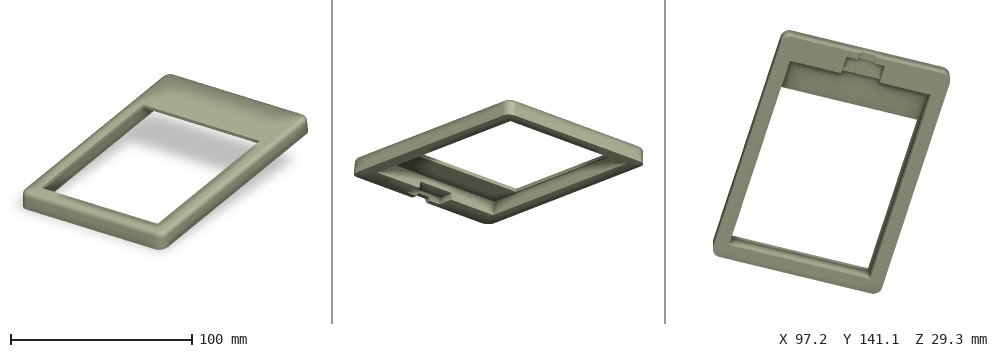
import cadquery as cq
import math

TILT = 8.0
WIDTH = 97.2
DEPTH = 141.1
THICKNESS = 10.0
PLATE = 2.0
CORNER_RADIUS = 5.0
TOP_RADIUS = 3.0

tilt = math.radians(TILT)
length = DEPTH / math.cos(tilt)

WINDOW_WIDTH = 79.0
WINDOW_FRONT = 9.7
WINDOW_REAR = 107.0

POCKET_MARGIN = 1.1
REAR_BLOCK = 14.5

NOTCH_WIDTH = 22.3
NOTCH_HEIGHT = 4.0
REAR_WALL = 4.0
OPENING_WIDTH = 9.5
OPENING_DIAMETER = 4.2


def block(width, front, rear, bottom, top):
    """Box centred on X, between the given Y and Z limits."""
    return cq.Workplane("XY").box(
        width, rear - front, top - bottom, centered=(True, False, False)
    ).translate((0, front, bottom))


def outer_body():
    front_lean = THICKNESS * math.tan(tilt)
    body = (
        cq.Workplane("YZ")
        .polyline([(0, 0), (length, 0), (length, THICKNESS), (front_lean, THICKNESS)])
        .close()
        .extrude(WIDTH / 2, both=True)
    )
    corner_edges = body.faces("<Y or >Y").edges("not |X")
    body = corner_edges.fillet(CORNER_RADIUS)
    return body.faces(">Z").edges().fillet(TOP_RADIUS)


def window():
    return block(WINDOW_WIDTH, WINDOW_FRONT, WINDOW_REAR, 0, THICKNESS)


def pocket():
    return block(
        WINDOW_WIDTH + 2 * POCKET_MARGIN,
        WINDOW_FRONT - POCKET_MARGIN,
        length - REAR_BLOCK,
        0,
        THICKNESS - PLATE,
    )


def connector_notch():
    return block(NOTCH_WIDTH, length - REAR_BLOCK, length - REAR_WALL, 0, NOTCH_HEIGHT)


def cable_opening():
    return (
        cq.Workplane("XZ", origin=(0, length, 0))
        .slot2D(OPENING_WIDTH, OPENING_DIAMETER)
        .extrude(REAR_WALL)
    )


bezel = outer_body()
for cutter in (window(), pocket(), connector_notch(), cable_opening()):
    bezel = bezel.cut(cutter)

result = bezel.rotate((0, 0, 0), (1, 0, 0), TILT)